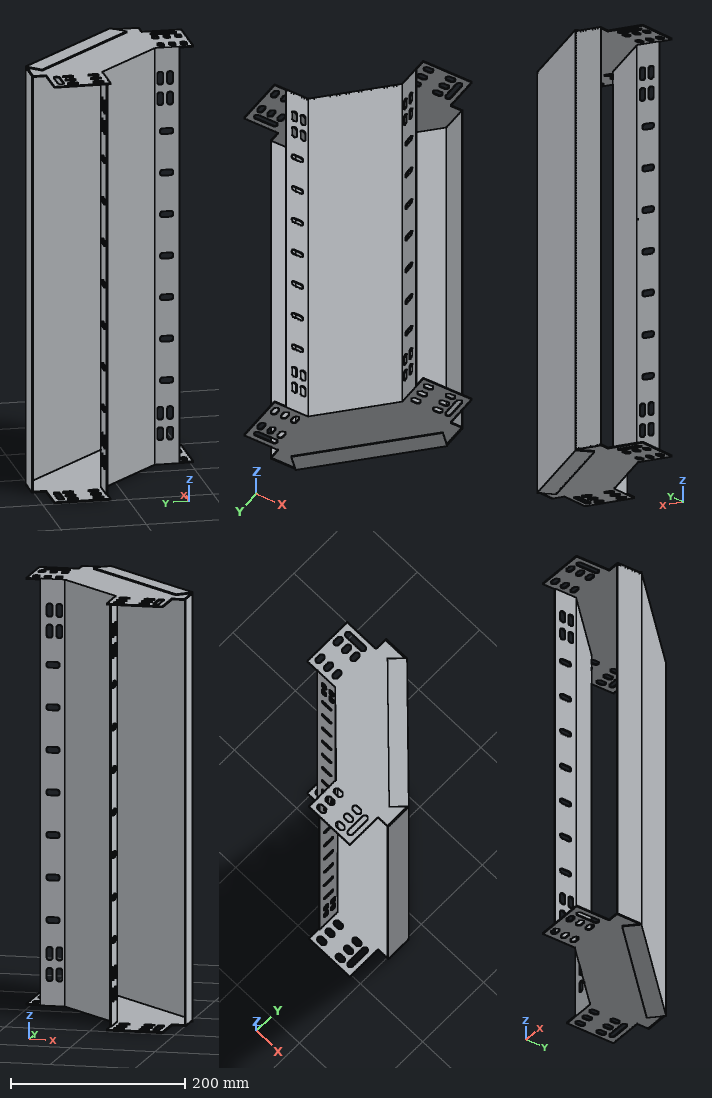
import cadquery as cq
import math


overall_height = 503.0
overall_width = 206.5
sheet = 1.5

arm_reach = 46.5
web_corner = 45.5
arm_width = 66.0
web_run = 78.5
wing_length = 29.0
flange_length = 33.5
lip_depth = 22.5

arm_slot_length = 12.0
arm_slot_width = 7.0
arm_slot_first = 8.5
arm_slot_pitch = 13.5
arm_slot_columns = 3
arm_slot_rows = (12.5, 42.5)
long_slot_length = 30.5
long_slot_from_tip = 23.0
long_slot_from_side = 56.0

wing_slot_length = 15.5
wing_slot_width = 7.0
cross_slot_from_tip = 31.0
cross_slot_pitch = 50.0
cross_slot_count = 7
upright_slot_columns = (27.0, 38.5)
upright_slot_heights = (188.5, 213.5)

tray_height = overall_height - 2 * sheet
web_height = tray_height - 2 * sheet
plate_size = overall_width - sheet
arm_inner = web_corner + web_run
arm_outer = arm_inner + arm_width
bend_start = arm_reach + flange_length
bend_setback = sheet * math.tan(math.radians(22.5))
wing_end = web_corner - wing_length
lip_run = lip_depth / math.sqrt(2)


def swapped(points):
    """The points mirrored in the plane X = Y, in reverse order."""
    return [(y, x) for x, y in reversed(points)]


def prism(half_outline, bottom, height):
    """Extrude the outline made of the given half and its mirror image."""
    outline = half_outline + swapped(half_outline)
    return cq.Workplane("XY").workplane(offset=bottom).polyline(outline).close().extrude(height)


def slot_cutters(plane, centres, length, width, angle, depth):
    """Round-ended slot cutters, reaching the given depth to both sides of the plane."""
    return (
        cq.Workplane(plane)
        .pushPoints(centres)
        .slot2D(length, width, angle)
        .extrude(depth, both=True)
    )


def with_mirror_image(cutter):
    """The cutter and its image on the other arm.

    Half a turn about the line X = Y also flips Z, but every cutter is symmetric about mid height.
    """
    return cutter.union(cutter.rotate((0, 0, 0), (1, 1, 0), 180))


def arm_slots():
    """Slots through the arms of both end plates."""
    columns = [arm_slot_first + i * arm_slot_pitch for i in range(arm_slot_columns)]
    short_centres = [(x, arm_inner + row) for x in columns for row in arm_slot_rows]
    long_centre = [(long_slot_from_tip, arm_inner + long_slot_from_side)]
    short_slots = slot_cutters("XY", short_centres, arm_slot_length, arm_slot_width, 90, overall_height)
    long_slot = slot_cutters("XY", long_centre, long_slot_length, arm_slot_width, 0, overall_height)
    return with_mirror_image(short_slots.union(long_slot))


def wing_slots():
    """Cross slots and paired upright slots through both wings."""
    middle = (cross_slot_count - 1) / 2
    cross_centres = [
        (cross_slot_from_tip, (i - middle) * cross_slot_pitch) for i in range(cross_slot_count)
    ]
    upright_centres = [
        (x, side * z) for x in upright_slot_columns for z in upright_slot_heights for side in (-1, 1)
    ]
    cross_slots = slot_cutters("XZ", cross_centres, wing_slot_length, wing_slot_width, 0, sheet)
    upright_slots = slot_cutters("XZ", upright_centres, wing_slot_length, wing_slot_width, 90, sheet)
    one_wing = cross_slots.union(upright_slots).translate((0, arm_inner, 0))
    return with_mirror_image(one_wing)


def make_tray():
    """Sloping web with a wing at each side, closed by slotted plates at both ends."""
    plate_half = [
        (web_corner, arm_inner),
        (0, arm_inner),
        (0, arm_outer),
        (arm_reach, arm_outer),
        (arm_reach, plate_size),
        (bend_start - bend_setback, plate_size),
    ]
    web_half = [
        (web_corner + bend_setback, arm_inner + sheet),
        (wing_end, arm_inner + sheet),
        (wing_end, arm_inner),
        (web_corner, arm_inner),
    ]
    tray = prism(web_half, -web_height / 2, web_height)
    for bottom in (-tray_height / 2, web_height / 2):
        tray = tray.union(prism(plate_half, bottom, sheet))
    return tray.cut(arm_slots()).cut(wing_slots())


def make_cover():
    """Sloping wall with a flange at each side and a lip folded over each end plate."""
    wall_half = [
        (bend_start - bend_setback, plate_size),
        (arm_reach, plate_size),
        (arm_reach, overall_width),
        (bend_start, overall_width),
    ]
    lip_half = [
        (bend_start - lip_run, overall_width - lip_run),
        (bend_start, overall_width),
    ]
    cover = prism(wall_half, -tray_height / 2, tray_height)
    for bottom in (-overall_height / 2, tray_height / 2):
        cover = cover.union(prism(lip_half, bottom, sheet))
    return cover


tray = make_tray()
cover = make_cover()

result = cq.Compound.makeCompound([tray.val(), cover.val()])